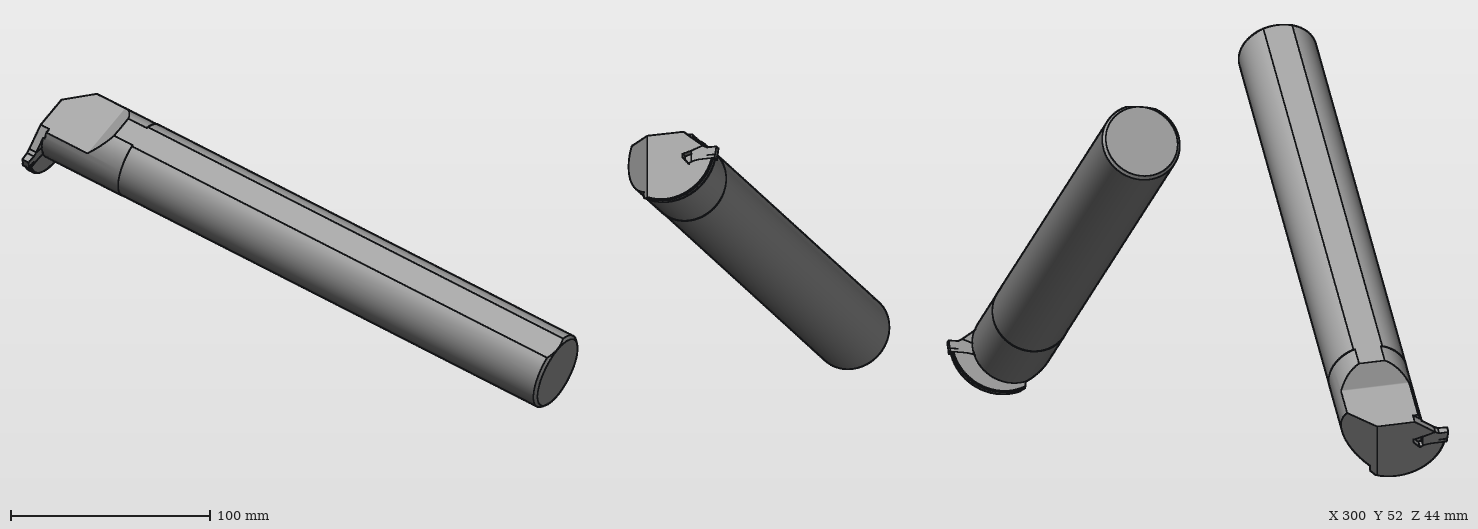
import cadquery as cq

TOTAL_LENGTH = 300.0
SHANK_RADIUS = 60.0 / 3.0
FLAT_HEIGHT = 18.5
SHANK_CHAMFER = 1.5

NECK_LENGTH = 49.8
NECK_RADIUS = SHANK_RADIUS
NECK_DROP = 0.3

STEP_HEIGHT = 9.5
STEP_LENGTH = 29.7
RAMP_FILLET = 1.2

CORNER_START_Y = 4.5
CORNER_REACH = 30.0

BLADE_THICKNESS = 4.2
BLADE_RADIUS = 25.5
BLADE_CENTER_Y = -5.5
BLADE_REAR_Y = 7.5
RIM_CHAMFER = 0.5

NOTCH_WIDTH = 5.0
NOTCH_START_Y = -14.7
NOTCH_END_Y = -25.2
NOTCH_END_Z = 1.2

TIP_REACH = 96.0 / 3.0
TIP_Z = 0.0
TIP_LAND = 4.8
TIP_CLEARANCE = 1.0
INSERT_BOTTOM_Z = -6.0
INSERT_REAR_Y = -19.0
INSERT_REAR_TOP_Z = -1.0
INSERT_REAR_BOTTOM_Z = -6.5
INSERT_BEND_Y = -22.8
SIDE_RELIEF_START_Y = -27.3
SIDE_RELIEF_DEPTH = 0.3
SIDE_RELIEF_BOTTOM_Z = -4.2

RELIEF_REAR_Y = -14.0
RELIEF_TOP_Z = -2.0
RELIEF_BOTTOM_Z = -4.0
RELIEF_HEEL_Y = -17.5
RELIEF_HEEL_Z = -7.8

FAR = 2 * NECK_RADIUS


def bar(start_x, length, radius, center_z):
    """Round bar along X."""
    return cq.Workplane("YZ", origin=(start_x, 0, center_z)).circle(radius).extrude(length)


def slab(points, thickness):
    """Slab with a YZ outline, standing on the front end face."""
    return cq.Workplane("YZ").polyline(points).close().extrude(thickness)


def make_shaft():
    """Shank and neck, with the flat along the top."""
    shank = bar(NECK_LENGTH, TOTAL_LENGTH - NECK_LENGTH, SHANK_RADIUS, 0).faces(">X").chamfer(SHANK_CHAMFER)
    shaft = shank.union(bar(0, NECK_LENGTH, NECK_RADIUS, -NECK_DROP))
    above_flat = cq.Workplane("XY", origin=(0, 0, FLAT_HEIGHT)).rect(3 * TOTAL_LENGTH, 2 * FAR).extrude(FAR)
    return shaft.cut(above_flat)


def make_blade():
    """Disc segment, bounded on its +Y side by a vertical edge and on top by the step."""
    disc = cq.Workplane("YZ", origin=(0, BLADE_CENTER_Y, 0)).circle(BLADE_RADIUS).extrude(BLADE_THICKNESS)
    disc = disc.edges().chamfer(RIM_CHAMFER)
    window = slab(
        [(-FAR, -FAR), (BLADE_REAR_Y, -FAR), (BLADE_REAR_Y, STEP_HEIGHT), (-FAR, STEP_HEIGHT)],
        BLADE_THICKNESS,
    )
    return disc.intersect(window)


def step_cut():
    """Material removed above the head, up to the filleted 45 degree ramp."""
    rise = FAR - STEP_HEIGHT
    return (
        cq.Workplane("XZ", origin=(0, FAR, 0))
        .polyline([(0, STEP_HEIGHT), (STEP_LENGTH, STEP_HEIGHT), (STEP_LENGTH + rise, FAR), (0, FAR)])
        .close()
        .extrude(2 * FAR)
        .edges(cq.selectors.NearestToPointSelector((STEP_LENGTH, 0, STEP_HEIGHT)))
        .fillet(RAMP_FILLET)
    )


def corner_cut():
    """45 degree bevel through the full height of the front +Y corner."""
    outer_y = CORNER_START_Y + CORNER_REACH
    return (
        cq.Workplane("XY", origin=(0, 0, -FAR))
        .polyline([(0, CORNER_START_Y), (0, outer_y), (CORNER_REACH, outer_y)])
        .close()
        .extrude(2 * FAR)
    )


def notch_cut():
    """Sloping cut above the insert, running out past the blade rim."""
    return slab(
        [
            (NOTCH_START_Y, FAR),
            (NOTCH_START_Y, STEP_HEIGHT),
            (NOTCH_END_Y, NOTCH_END_Z),
            (NOTCH_END_Y, TIP_Z),
            (-FAR, TIP_Z),
            (-FAR, FAR),
        ],
        NOTCH_WIDTH,
    )


def insert_blank():
    """Full-thickness insert outline, which also forms its seat in the blade."""
    return slab(
        [
            (INSERT_REAR_Y, INSERT_REAR_TOP_Z),
            (NOTCH_END_Y, NOTCH_END_Z),
            (TIP_LAND - TIP_REACH, TIP_Z),
            (-TIP_REACH, TIP_Z),
            (TIP_CLEARANCE - TIP_REACH, INSERT_BOTTOM_Z),
            (INSERT_BEND_Y, INSERT_BOTTOM_Z),
            (INSERT_REAR_Y, INSERT_REAR_BOTTOM_Z),
        ],
        BLADE_THICKNESS,
    )


def make_insert():
    """Cutting bit, narrowed on both sides of its tip."""
    insert = insert_blank()
    for face_x, inward in ((0, 1), (BLADE_THICKNESS, -1)):
        side_wedge = (
            cq.Workplane("XY", origin=(face_x, 0, SIDE_RELIEF_BOTTOM_Z))
            .polyline([(0, SIDE_RELIEF_START_Y), (0, -TIP_REACH), (inward * SIDE_RELIEF_DEPTH, -TIP_REACH)])
            .close()
            .extrude(TIP_Z - SIDE_RELIEF_BOTTOM_Z)
        )
        insert = insert.cut(side_wedge)
    return insert


def relief_cut():
    """Empty end of the seat behind the insert."""
    return slab(
        [
            (INSERT_REAR_Y, INSERT_REAR_TOP_Z),
            (RELIEF_REAR_Y, RELIEF_TOP_Z),
            (RELIEF_REAR_Y, RELIEF_BOTTOM_Z),
            (RELIEF_HEEL_Y, RELIEF_HEEL_Z),
            (INSERT_REAR_Y, INSERT_REAR_BOTTOM_Z),
        ],
        BLADE_THICKNESS,
    )


insert = make_insert()
holder = make_shaft().union(make_blade())
holder = holder.cut(step_cut()).cut(corner_cut()).cut(notch_cut()).cut(relief_cut()).cut(insert_blank())
result = cq.Compound.makeCompound([holder.val(), insert.val()])